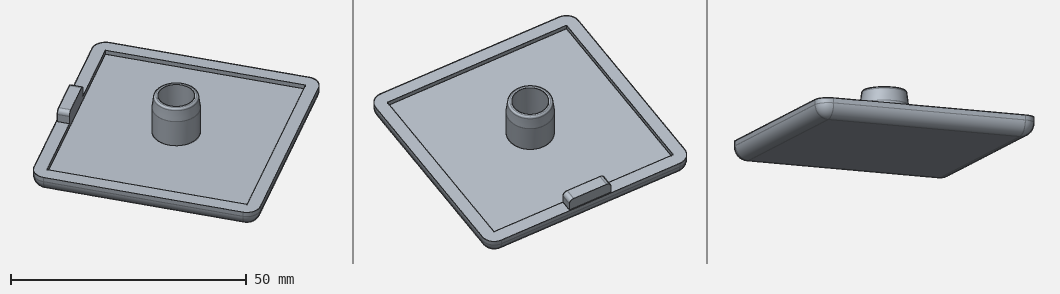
import cadquery as cq

plate_side = 50.0
plate_height = 4.1
edge_radius = 3.0

rim_width = 2.9
recess_depth = 1.05
recess_side = plate_side - 2 * rim_width
floor_z = plate_height - recess_depth

post_top_z = 12.5
post_radius = 5.15
taper_start_z = 9.4
nose_radius = 4.75
nose_rounding = 0.5
bore_radius = 3.9

tab_inset = 0.2
tab_thickness = rim_width - tab_inset
tab_width = 10.2
tab_height = 2.95
tab_corner_radius = 1.05


def make_plate():
    blank = (
        cq.Workplane("XY")
        .rect(plate_side, plate_side)
        .extrude(plate_height)
        .edges("|Z")
        .fillet(edge_radius)
        .faces("<Z")
        .edges()
        .fillet(edge_radius)
    )
    recess = (
        cq.Workplane("XY", origin=(0, 0, floor_z))
        .rect(recess_side, recess_side)
        .extrude(recess_depth)
    )
    return blank.cut(recess)


def make_post():
    body = (
        cq.Workplane("XZ")
        .moveTo(0, floor_z)
        .lineTo(post_radius, floor_z)
        .lineTo(post_radius, taper_start_z)
        .lineTo(nose_radius, post_top_z)
        .lineTo(0, post_top_z)
        .close()
        .revolve(360, (0, 0, 0), (0, 1, 0))
        .faces(">Z")
        .edges()
        .fillet(nose_rounding)
    )
    bore = (
        cq.Workplane("XY", origin=(0, 0, floor_z))
        .circle(bore_radius)
        .extrude(post_top_z - floor_z)
    )
    return body.cut(bore)


def make_tab():
    outer_face_x = -plate_side / 2 + tab_inset
    return (
        cq.Workplane("XY", origin=(outer_face_x + tab_thickness / 2, 0, plate_height))
        .rect(tab_thickness, tab_width)
        .extrude(tab_height)
        .faces(">Z")
        .edges("|X")
        .fillet(tab_corner_radius)
    )


result = make_plate().union(make_post()).union(make_tab())